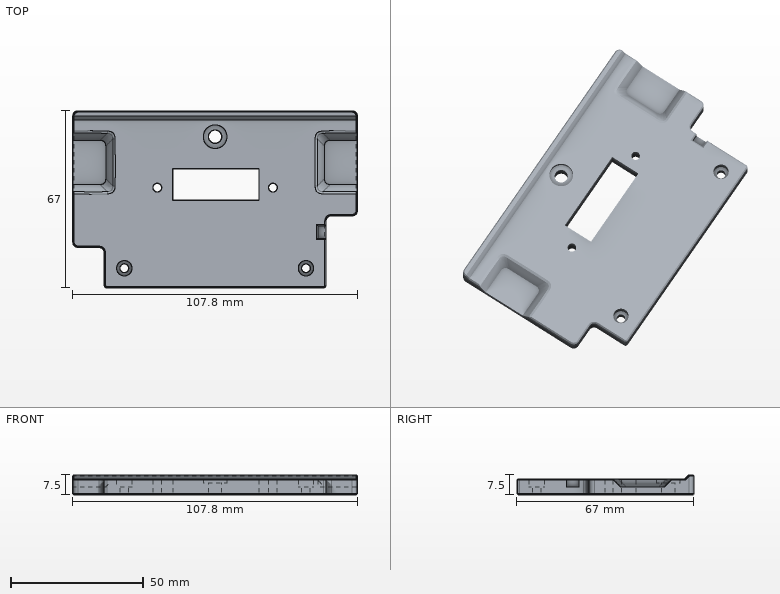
import cadquery as cq
length = 107.8
depth = 67.0
tongue_width = 84.0
left_shoulder_y = 15.3
right_shoulder_y = 27.3
shoulder_radius = 2.0
tongue_radius = 1.0

total_height = 7.5
plate_thickness = 6.0
edge_chamfer = 0.5

pocket_depth = 3.0
pocket_floor_length = 12.5
pocket_floor_front = 39.1
pocket_floor_back = 55.8
pocket_corner_radius = 3.0

notch_length = 3.0
notch_front = 18.8
notch_back = 23.5
notch_depth = 3.0

window_length = 32.6
window_width = 11.9
window_x = 0.3
window_y = 39.1
pin_hole_diameter = 3.2
pin_hole_x = 21.9
pin_hole_y = 37.9

back_hole_diameter = 5.0
back_bore_diameter = 9.0
back_bore_depth = 1.5
back_hole_y = 57.2
front_hole_diameter = 3.2
front_bore_diameter = 5.8
front_bore_depth = 3.0
front_hole_x = 34.4
front_hole_y = 7.4

half_length = length / 2
half_tongue = tongue_width / 2
lip_rise = total_height - plate_thickness
lip_ridge_y = depth - shoulder_radius
lip_foot_y = lip_ridge_y - lip_rise
pocket_floor_z = plate_thickness - pocket_depth
pocket_floor_width = pocket_floor_back - pocket_floor_front
pocket_y = (pocket_floor_front + pocket_floor_back) / 2

margin = 0.1
overcut = 1.1


def zone(x_min, x_max, y_min, y_max, z_min, z_max):
    """Selector for edges whose centres lie in a box, enlarged by the margin."""
    return cq.selectors.BoxSelector(
        (x_min - margin, y_min - margin, z_min - margin),
        (x_max + margin, y_max + margin, z_max + margin),
    )


def make_blank():
    """Full-height stepped outline with rounded vertical corners."""
    blank = (
        cq.Workplane("XY")
        .moveTo(-half_tongue, 0)
        .lineTo(half_tongue, 0)
        .lineTo(half_tongue, right_shoulder_y)
        .lineTo(half_length, right_shoulder_y)
        .lineTo(half_length, depth)
        .lineTo(-half_length, depth)
        .lineTo(-half_length, left_shoulder_y)
        .lineTo(-half_tongue, left_shoulder_y)
        .close()
        .extrude(total_height)
    )
    tongue_end = zone(-half_tongue, half_tongue, 0, 0, 0, total_height)
    blank = blank.edges("|Z").edges(tongue_end).fillet(tongue_radius)
    shoulders = zone(-half_length, half_length, left_shoulder_y, depth, 0, total_height)
    return blank.edges("|Z").edges(shoulders).fillet(shoulder_radius)


def make_lip_relief():
    """Material removed in front of the lip, ending in its slope."""
    return (
        cq.Workplane("YZ")
        .moveTo(-overcut, plate_thickness)
        .lineTo(lip_foot_y, plate_thickness)
        .lineTo(lip_ridge_y, total_height)
        .lineTo(lip_ridge_y, total_height + overcut)
        .lineTo(-overcut, total_height + overcut)
        .close()
        .extrude(length, both=True)
    )


def chamfer_outer_rims(plate):
    """Chamfer the top and bottom rims, leaving both long edges of the lip slope sharp."""
    top_edges = zone(-half_length, half_length, 0, depth, plate_thickness, total_height)
    slope_edges = zone(0, 0, lip_foot_y, lip_ridge_y, plate_thickness, total_height)
    plate = plate.edges(top_edges - slope_edges).chamfer(edge_chamfer)
    return plate.faces("<Z").edges().chamfer(edge_chamfer)


def make_pocket(side):
    """Cutter with 45 degree walls, centred on an end face; side is -1 (left) or 1 (right)."""
    pocket = (
        cq.Workplane("XY", origin=(side * half_length, pocket_y, pocket_floor_z))
        .rect(2 * pocket_floor_length, pocket_floor_width)
        .workplane(offset=pocket_depth)
        .rect(2 * (pocket_floor_length + pocket_depth), pocket_floor_width + 2 * pocket_depth)
        .loft(ruled=True)
    )
    slanted_corners = pocket.edges("not(#Z)")
    return slanted_corners.fillet(pocket_corner_radius)


def make_notch():
    """Box centred on the top edge of the tongue's right side."""
    notch_y = (notch_front + notch_back) / 2
    notch = cq.Workplane("XY").box(2 * notch_length, notch_back - notch_front, 2 * notch_depth)
    return notch.translate((half_tongue, notch_y, plate_thickness))


def make_recesses():
    """Pockets and notch as one cutter, flared by the chamfer around each mouth."""
    slab = cq.Workplane("XY").box(2 * length, 2 * depth, plate_thickness, centered=(True, True, False))
    carved = slab.cut(make_notch())
    for side in (-1, 1):
        carved = carved.cut(make_pocket(side))
    mouth_reach = half_length + pocket_floor_length + pocket_depth
    mouths = zone(
        -mouth_reach,
        mouth_reach,
        notch_front,
        pocket_floor_back + pocket_depth,
        plate_thickness,
        plate_thickness,
    )
    return slab.cut(carved.edges(mouths).chamfer(edge_chamfer))


def make_window():
    return (
        cq.Workplane("XY")
        .center(window_x, window_y)
        .rect(window_length, window_width)
        .extrude(total_height)
    )


def make_holes(points, diameter, bottom_z=0):
    """Round cutters at the given points, open upward from bottom_z."""
    return (
        cq.Workplane("XY", origin=(0, 0, bottom_z))
        .pushPoints(points)
        .circle(diameter / 2)
        .extrude(total_height)
    )


body = chamfer_outer_rims(make_blank().cut(make_lip_relief()))
body = body.cut(make_recesses())
body = body.cut(make_window())

pin_points = [(-pin_hole_x, pin_hole_y), (pin_hole_x, pin_hole_y)]
body = body.cut(make_holes(pin_points, pin_hole_diameter))

back_points = [(0, back_hole_y)]
body = body.cut(make_holes(back_points, back_hole_diameter))
body = body.cut(make_holes(back_points, back_bore_diameter, plate_thickness - back_bore_depth))

front_points = [(-front_hole_x, front_hole_y), (front_hole_x, front_hole_y)]
body = body.cut(make_holes(front_points, front_hole_diameter))
body = body.cut(make_holes(front_points, front_bore_diameter, plate_thickness - front_bore_depth))

result = body